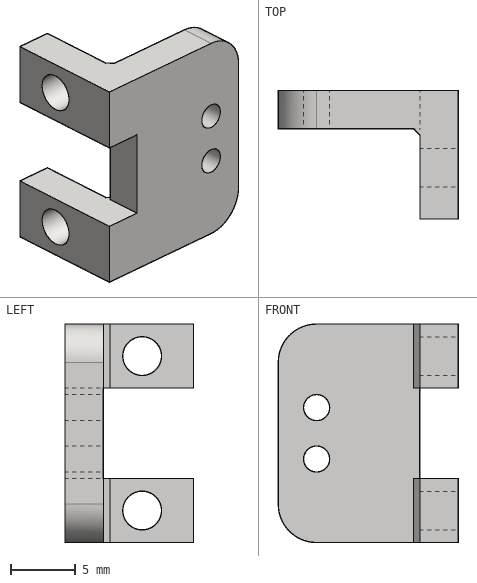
import cadquery as cq

width = 14.0
depth = 10.0
height = 17.0

thickness = 3.0
corner_radius = thickness
ear_height = 5.0
inner_chamfer = 0.5

plate_hole_diameter = 2.0
plate_hole_spacing = 4.0
plate_hole_inset = corner_radius
ear_hole_diameter = 3.0
ear_hole_inset = 4.0

plate_front = depth - thickness
ear_left = width - thickness


def make_angle():
    """L-shaped section with a chamfered inner corner, extruded to full height."""
    return (
        cq.Workplane("XY")
        .workplane(offset=-height / 2)
        .moveTo(0, depth)
        .lineTo(width, depth)
        .lineTo(width, 0)
        .lineTo(ear_left, 0)
        .lineTo(ear_left, plate_front - inner_chamfer)
        .lineTo(ear_left - inner_chamfer, plate_front)
        .lineTo(0, plate_front)
        .close()
        .extrude(height)
    )


def make_ear_gap():
    """Space between the ears: the whole flange and the chamfer strip in front of the plate."""
    gap_height = height - 2 * ear_height
    flange_gap = cq.Workplane("XY").box(thickness, depth, gap_height, centered=(False, False, True))
    chamfer_gap = cq.Workplane("XY").box(
        inner_chamfer, plate_front, gap_height, centered=(False, False, True)
    )
    return flange_gap.translate((ear_left, 0, 0)).union(
        chamfer_gap.translate((ear_left - inner_chamfer, 0, 0))
    )


def make_plate_holes():
    """Pair of holes along Y through the plate."""
    half_spacing = plate_hole_spacing / 2
    return (
        cq.Workplane("XZ")
        .pushPoints([(plate_hole_inset, -half_spacing), (plate_hole_inset, half_spacing)])
        .circle(plate_hole_diameter / 2)
        .extrude(-depth)
    )


def make_ear_holes():
    """One hole along X through the middle height of each ear."""
    ear_middle = (height - ear_height) / 2
    return (
        cq.Workplane("YZ")
        .pushPoints([(ear_hole_inset, -ear_middle), (ear_hole_inset, ear_middle)])
        .circle(ear_hole_diameter / 2)
        .extrude(width)
    )


bracket = make_angle().cut(make_ear_gap())
bracket = bracket.edges("|Y and <X").fillet(corner_radius)
result = bracket.cut(make_plate_holes()).cut(make_ear_holes())